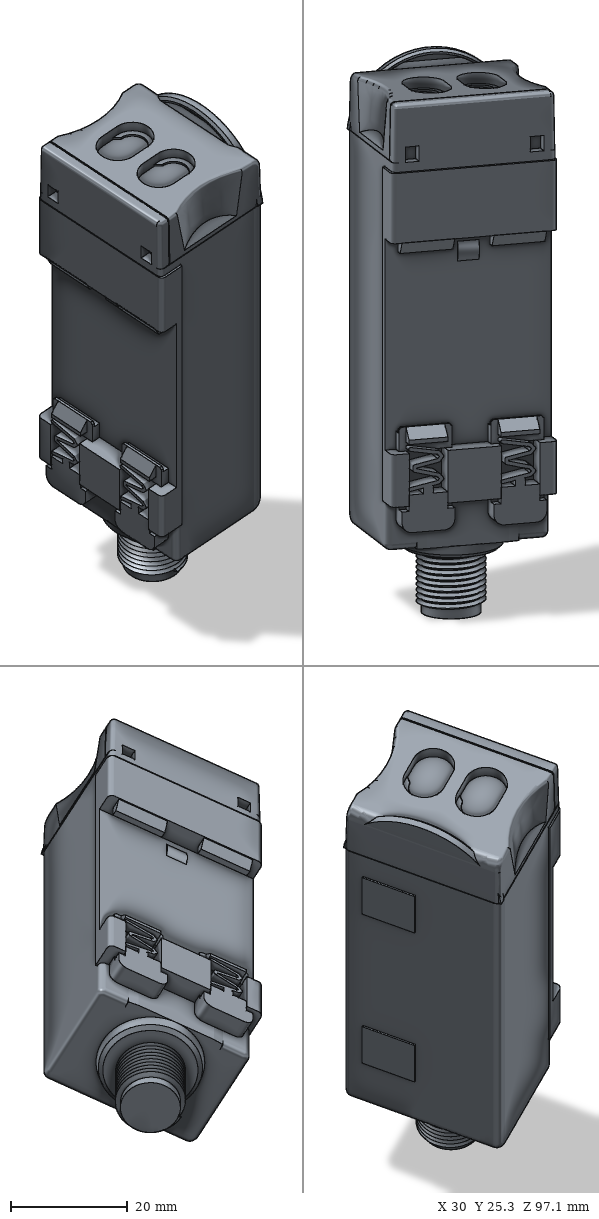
import cadquery as cq
import math


TOTAL_HEIGHT = 97.1

HOUSING_HALF_WIDTH = 14.8
HOUSING_FRONT = -9.1
HOUSING_BACK = 12.1
HOUSING_BACK_HALF_WIDTH = 14.6
HOUSING_TAPER_Y = 9.9
HOUSING_BOTTOM = 14.1
BOTTOM_BACK_RADIUS = 2.2
BACK_EDGE_RADIUS = 1.2
FRONT_EDGE_RADIUS = 1.2

PAD_HALF_WIDTH = 9.2
PAD_SLOPE_WIDTH = 1.8
PAD_DEPTH = 2.9

HEAD_BOTTOM = 83.8
HEAD_TOP = 94.1
HEAD_STEP = 0.1
HEAD_DRAFT = 0.2
HEAD_BACK_RADIUS = 2.0
HEAD_EDGE_RADIUS = 0.8
SEAM_Y = -10.8
SEAM_SIZE = 0.2

DOME_RADIUS = 15.0
DOME_FRONT = 10.1
DOME_BACK = 11.85
DOME_CHAMFER = 0.5
DOME_RIM = 0.9
DOME_POCKET_DEPTH = 0.7
DOME_POCKET_FLOOR = 95.1

SLOT_X = 5.0
SLOT_RADIUS = 3.7
SLOT_BACK = 3.8
SLOT_FRONT = -7.2
SLOT_LEDGE_DEPTH = 1.9
SLOT_DEPTH = 2.3
SLOT_LEDGE_WIDTH = 1.0

SCALLOP_AXIS_X = 29.1
SCALLOP_AXIS_Y = -0.7
SCALLOP_BOTTOM_RADIUS = 15.7
SCALLOP_TOP_RADIUS = 16.7
SCALLOP_LEDGE_Z = 84.6
SCALLOP_LEDGE_SLOPE = 1.0

WINDOW_X = 11.3
WINDOW_Z = 85.2
WINDOW_WIDTH = 2.4
WINDOW_HEIGHT = 2.7
WINDOW_DEPTH = 1.9

PLATE_CENTRE_X = 6.1
PLATE_WIDTH = 9.9
PLATE_HEIGHT = 10.2
PLATE_THICKNESS = 0.3
PLATE_CENTRES_Z = (73.0, 31.4)

FLANGE_TOP_RADIUS = 9.3
FLANGE_RADIUS = 8.9
FLANGE_BOTTOM_RADIUS = 8.2
FLANGE_BOTTOM = 11.7
FLANGE_CHAMFER_HEIGHT = 0.7
CORE_RADIUS = 5.1
THREAD_RADIUS = 6.0
THREAD_BOTTOM = 1.0
THREAD_LENGTH = 10.0
THREAD_TURNS = 10
THREAD_PITCH = THREAD_LENGTH / THREAD_TURNS
THREAD_ROOT_OVERLAP = 0.1
THREAD_BASE_WIDTH = 0.96 * THREAD_PITCH

MOUNT_WIDTH = 30.0
MOUNT_BACK = -8.0
MOUNT_FACE = -9.3
MOUNT_FRONT = -12.9
MOUNT_TOP = 82.2
MOUNT_GAP = 0.2
MOUNT_BOTTOM = 22.8
MOUNT_EDGE_RADIUS = 1.0
UPPER_BLOCK_BOTTOM = 69.5
LOWER_BLOCK_TOP = 32.15

CLIP_SPACING = 16.6
CLIP_WIDTH = 9.5
CHANNEL_WIDTH = 7.0
CLIP_FRONT = -12.7
CLIP_STEP = -11.1
HOOK_BACK = -10.6
TOOTH_BOTTOM = 67.4
TOOTH_TIP_FRONT = -11.7
FOOT_BOTTOM = 18.1
FOOT_SHOULDER = 21.9
FOOT_TOP = 24.8
FOOT_RADIUS = 1.8
JAW_TOP = 36.4
JAW_BASE_TOP = 35.4
JAW_NOSE_TOP = 34.5
JAW_NOSE_BOTTOM = 33.7
JAW_CORNER_CHAMFER = 0.4
RIBBON_THICKNESS = 0.7
RIBBON_TAIL_X = -3.2
RIBBON_LEFT_X = -2.4
RIBBON_RIGHT_X = 1.8
RIBBON_BEND_X = 2.4
RIBBON_POST_WIDTH = 1.7
RIBBON_PATH = [
    (RIBBON_TAIL_X, 32.8),
    (RIBBON_RIGHT_X, 31.9),
    (RIBBON_BEND_X, 31.2),
    (RIBBON_RIGHT_X, 30.5),
    (RIBBON_LEFT_X, 29.7),
    (RIBBON_LEFT_X, 29.0),
    (RIBBON_RIGHT_X, 27.9),
    (RIBBON_BEND_X, 27.2),
    (RIBBON_RIGHT_X, 26.6),
    (RIBBON_TAIL_X, 25.7),
]

BUMP_WIDTH = 3.9
BUMP_CENTRE_Z = 66.3
BUMP_LENGTH = 3.5
BUMP_HEIGHT = 0.4


def block(x_min, x_max, y_min, y_max, z_min, z_max):
    """Box between the given limits."""
    box = cq.Workplane("XY").box(x_max - x_min, y_max - y_min, z_max - z_min, centered=False)
    return box.translate((x_min, y_min, z_min))


def centred_block(width, y_min, y_max, z_min, z_max):
    """Box that is symmetric about X = 0."""
    return block(-width / 2, width / 2, y_min, y_max, z_min, z_max)


def side_profile(points, width):
    """Outline of (Y, Z) points extruded symmetrically along X."""
    return cq.Workplane("YZ").polyline(points).close().extrude(width / 2, both=True)



def make_case():
    outline = [
        (HOUSING_HALF_WIDTH, HOUSING_FRONT),
        (HOUSING_HALF_WIDTH, HOUSING_TAPER_Y),
        (HOUSING_BACK_HALF_WIDTH, HOUSING_BACK),
        (-HOUSING_BACK_HALF_WIDTH, HOUSING_BACK),
        (-HOUSING_HALF_WIDTH, HOUSING_TAPER_Y),
        (-HOUSING_HALF_WIDTH, HOUSING_FRONT),
    ]
    base = cq.Workplane("XY", origin=(0, 0, HOUSING_BOTTOM))
    case = base.polyline(outline).close().extrude(HEAD_BOTTOM - HOUSING_BOTTOM)
    case = case.edges("<Z and >Y").fillet(BOTTOM_BACK_RADIUS)
    case = case.faces(">Y").edges("|Z").fillet(BACK_EDGE_RADIUS)
    case = case.faces("<Y").edges("not >Z").fillet(FRONT_EDGE_RADIUS)

    lip = centred_block(2 * HOUSING_HALF_WIDTH, MOUNT_FRONT, 0, MOUNT_TOP, HEAD_BOTTOM)
    lip = lip.edges("|Z and <Y").fillet(MOUNT_EDGE_RADIUS)
    recess = centred_block(MOUNT_WIDTH, MOUNT_FRONT, MOUNT_BACK, MOUNT_BOTTOM, MOUNT_TOP)
    return case.cut(recess).union(lip)


def make_pad():
    """Pad with sloped sides, flush with the face of the mount above it."""
    face_half_width = PAD_HALF_WIDTH - PAD_SLOPE_WIDTH
    outline = [
        (-face_half_width, MOUNT_FACE),
        (face_half_width, MOUNT_FACE),
        (PAD_HALF_WIDTH, HOUSING_FRONT),
        (PAD_HALF_WIDTH, MOUNT_FACE + PAD_DEPTH),
        (-PAD_HALF_WIDTH, MOUNT_FACE + PAD_DEPTH),
        (-PAD_HALF_WIDTH, HOUSING_FRONT),
    ]
    base = cq.Workplane("XY", origin=(0, 0, HOUSING_BOTTOM))
    return base.polyline(outline).close().extrude(MOUNT_BOTTOM - HOUSING_BOTTOM)


def make_head():
    half_bottom = HOUSING_HALF_WIDTH - HEAD_STEP
    half_top = half_bottom - HEAD_DRAFT
    back_bottom = HOUSING_BACK - HEAD_STEP
    back_top = back_bottom - HEAD_DRAFT
    head = (
        cq.Workplane("XY", origin=(0, 0, HEAD_BOTTOM))
        .center(0, (MOUNT_FRONT + back_bottom) / 2)
        .rect(2 * half_bottom, back_bottom - MOUNT_FRONT)
        .workplane(offset=HEAD_TOP - HEAD_BOTTOM)
        .center(0, (back_top - back_bottom) / 2)
        .rect(2 * half_top, back_top - MOUNT_FRONT)
        .loft(ruled=True)
    )
    head = head.faces(">Z").edges(">Y").fillet(HEAD_BACK_RADIUS)
    head = head.faces("<Y").edges("not #Z").fillet(HEAD_EDGE_RADIUS)
    head = head.cut(make_scallops())
    head = head.faces(">Z").edges("not >Y").fillet(HEAD_EDGE_RADIUS)
    return head


def make_seam():
    """Thin groove over the top and sides of the head, behind its front wall."""
    wide = 2 * HOUSING_HALF_WIDTH
    outer = centred_block(wide, SEAM_Y, SEAM_Y + SEAM_SIZE, HEAD_BOTTOM, HEAD_TOP)
    inner_width = wide - 2 * (HEAD_STEP + HEAD_DRAFT + SEAM_SIZE)
    inner = centred_block(inner_width, SEAM_Y, SEAM_Y + SEAM_SIZE, HEAD_BOTTOM, HEAD_TOP - SEAM_SIZE)
    return outer.cut(inner)


def make_dome():
    axis_z = TOTAL_HEIGHT - DOME_RADIUS
    disc = (
        cq.Workplane("XZ", origin=(0, DOME_BACK, axis_z))
        .circle(DOME_RADIUS)
        .extrude(DOME_BACK - DOME_FRONT)
        .faces("<Y").edges().chamfer(DOME_CHAMFER)
    )
    dome = disc.intersect(block(-DOME_RADIUS, DOME_RADIUS, DOME_FRONT, DOME_BACK, HEAD_BOTTOM, TOTAL_HEIGHT))

    scoop = (
        cq.Workplane("XZ", origin=(0, DOME_FRONT + DOME_POCKET_DEPTH, axis_z))
        .circle(DOME_RADIUS - DOME_RIM)
        .extrude(DOME_POCKET_DEPTH)
    )
    floor = [
        (DOME_FRONT, HEAD_TOP),
        (DOME_FRONT + DOME_POCKET_DEPTH, DOME_POCKET_FLOOR),
        (DOME_FRONT + DOME_POCKET_DEPTH, TOTAL_HEIGHT),
        (DOME_FRONT, TOTAL_HEIGHT),
    ]
    return dome.cut(scoop.intersect(side_profile(floor, 2 * DOME_RADIUS)))


def make_top_slot(x):
    """Round-ended slot that keeps a crescent-shaped ledge around the back end of its floor."""
    length = SLOT_BACK - SLOT_FRONT
    upper = (
        cq.Workplane("XY", origin=(x, (SLOT_BACK + SLOT_FRONT) / 2, HEAD_TOP - SLOT_LEDGE_DEPTH))
        .slot2D(length, 2 * SLOT_RADIUS, 90)
        .extrude(SLOT_LEDGE_DEPTH)
    )
    back_centre = SLOT_BACK - SLOT_RADIUS
    front_centre = SLOT_FRONT + SLOT_RADIUS
    inner_radius = SLOT_RADIUS - SLOT_LEDGE_WIDTH
    lower = (
        cq.Workplane("XY", origin=(x, 0, HEAD_TOP - SLOT_DEPTH))
        .moveTo(inner_radius, back_centre)
        .threePointArc((0, SLOT_BACK - SLOT_LEDGE_WIDTH), (-inner_radius, back_centre))
        .lineTo(-SLOT_RADIUS, back_centre - SLOT_LEDGE_WIDTH)
        .lineTo(-SLOT_RADIUS, front_centre)
        .threePointArc((0, SLOT_FRONT), (SLOT_RADIUS, front_centre))
        .lineTo(SLOT_RADIUS, back_centre - SLOT_LEDGE_WIDTH)
        .close()
        .extrude(SLOT_DEPTH)
    )
    return upper.union(lower)


def make_scallops():
    """Cone-shaped hollows, each closed below by a plane that rises towards the middle of the head."""
    cone_outline = [
        (0, HEAD_BOTTOM),
        (SCALLOP_BOTTOM_RADIUS, HEAD_BOTTOM),
        (SCALLOP_TOP_RADIUS, HEAD_TOP),
        (0, HEAD_TOP),
    ]
    cone = cq.Workplane("XZ").polyline(cone_outline).close().revolve(360, (0, 0), (0, 1))
    cone = cone.translate((SCALLOP_AXIS_X, SCALLOP_AXIS_Y, 0))

    inner_x = SCALLOP_AXIS_X - SCALLOP_TOP_RADIUS
    rise = SCALLOP_LEDGE_SLOPE * (HOUSING_HALF_WIDTH - inner_x)
    space_above_ledge = (
        cq.Workplane("XZ")
        .polyline([
            (HOUSING_HALF_WIDTH, SCALLOP_LEDGE_Z),
            (HOUSING_HALF_WIDTH, HEAD_TOP),
            (inner_x, HEAD_TOP),
            (inner_x, SCALLOP_LEDGE_Z + rise),
        ])
        .close()
        .extrude(SCALLOP_TOP_RADIUS, both=True)
    )
    scallop = cone.intersect(space_above_ledge)
    return scallop.union(scallop.mirror("YZ"))


def make_window(x):
    return block(
        x - WINDOW_WIDTH / 2, x + WINDOW_WIDTH / 2,
        MOUNT_FRONT, MOUNT_FRONT + WINDOW_DEPTH,
        WINDOW_Z - WINDOW_HEIGHT / 2, WINDOW_Z + WINDOW_HEIGHT / 2,
    )


def make_back_plate(z):
    return block(
        PLATE_CENTRE_X - PLATE_WIDTH / 2, PLATE_CENTRE_X + PLATE_WIDTH / 2,
        HOUSING_BACK, HOUSING_BACK + PLATE_THICKNESS,
        z - PLATE_HEIGHT / 2, z + PLATE_HEIGHT / 2,
    )


def make_connector():
    outline = [
        (0, 0),
        (CORE_RADIUS, 0),
        (CORE_RADIUS, FLANGE_BOTTOM),
        (FLANGE_BOTTOM_RADIUS, FLANGE_BOTTOM),
        (FLANGE_RADIUS, FLANGE_BOTTOM + FLANGE_CHAMFER_HEIGHT),
        (FLANGE_TOP_RADIUS, HOUSING_BOTTOM),
        (0, HOUSING_BOTTOM),
    ]
    return cq.Workplane("XZ").polyline(outline).close().revolve(360, (0, 0), (0, 1))


def make_thread():
    """Helical triangular ridge, rooted slightly inside the connector core."""
    root_radius = CORE_RADIUS - THREAD_ROOT_OVERLAP
    half_base = THREAD_BASE_WIDTH / 2
    helix = cq.Wire.makeHelix(THREAD_PITCH, THREAD_LENGTH, CORE_RADIUS)
    section = cq.Workplane("XZ").polyline(
        [(root_radius, -half_base), (THREAD_RADIUS, 0), (root_radius, half_base)]
    ).close()
    ridge = section.sweep(cq.Workplane(helix), isFrenet=True)
    return ridge.translate((0, 0, THREAD_BOTTOM + half_base))


def make_housing():
    housing = make_case().union(make_pad())
    housing = housing.union(make_head()).cut(make_seam())
    housing = housing.union(make_dome())
    for side in (-1, 1):
        housing = housing.cut(make_top_slot(side * SLOT_X)).cut(make_window(side * WINDOW_X))
    for z in PLATE_CENTRES_Z:
        housing = housing.union(make_back_plate(z))
    return housing.union(make_connector()).union(make_thread())



def make_mount_base():
    top = MOUNT_TOP - MOUNT_GAP
    base = centred_block(MOUNT_WIDTH, MOUNT_FACE, MOUNT_BACK, MOUNT_BOTTOM, top)
    for z_min, z_max in ((UPPER_BLOCK_BOTTOM, top), (MOUNT_BOTTOM, LOWER_BLOCK_TOP)):
        rail_block = centred_block(MOUNT_WIDTH, MOUNT_FRONT, MOUNT_BACK, z_min, z_max)
        base = base.union(rail_block.edges("|Z and <Y").fillet(MOUNT_EDGE_RADIUS))
    return base


def make_bump():
    """Shallow cylinder segment lying along X."""
    return (
        cq.Workplane("YZ")
        .moveTo(MOUNT_FACE, BUMP_CENTRE_Z - BUMP_LENGTH / 2)
        .threePointArc(
            (MOUNT_FACE - BUMP_HEIGHT, BUMP_CENTRE_Z),
            (MOUNT_FACE, BUMP_CENTRE_Z + BUMP_LENGTH / 2),
        )
        .close()
        .extrude(BUMP_WIDTH / 2, both=True)
    )


def make_tooth():
    """Fixed rail tooth under the upper block."""
    outline = [
        (HOOK_BACK, UPPER_BLOCK_BOTTOM),
        (HOOK_BACK, TOOTH_BOTTOM),
        (TOOTH_TIP_FRONT, TOOTH_BOTTOM),
        (CLIP_FRONT, UPPER_BLOCK_BOTTOM),
    ]
    return side_profile(outline, CLIP_WIDTH)


def make_foot():
    """Pull tab below the channel, with a neck that reaches up into it."""
    tab = centred_block(CLIP_WIDTH, CLIP_FRONT, MOUNT_FACE, FOOT_BOTTOM, FOOT_SHOULDER)
    tab = tab.edges("|Y and <Z").fillet(FOOT_RADIUS)
    shoulder = centred_block(CLIP_WIDTH, CLIP_STEP, MOUNT_FACE, FOOT_SHOULDER, MOUNT_BOTTOM)
    neck = centred_block(CHANNEL_WIDTH, CLIP_FRONT, MOUNT_FACE, FOOT_SHOULDER, FOOT_TOP)
    return tab.union(shoulder).union(neck)


def make_jaw():
    """Sprung rail jaw above the lower block."""
    base = centred_block(CLIP_WIDTH, CLIP_STEP, MOUNT_FACE, LOWER_BLOCK_TOP, JAW_BASE_TOP)
    lip = centred_block(CLIP_WIDTH, CLIP_STEP, HOOK_BACK, LOWER_BLOCK_TOP, JAW_TOP)
    lip = lip.edges("|Y and >Z").chamfer(JAW_CORNER_CHAMFER)
    nose = [
        (CLIP_STEP, JAW_TOP),
        (CLIP_FRONT, JAW_NOSE_TOP),
        (CLIP_FRONT, JAW_NOSE_BOTTOM),
        (CLIP_STEP, JAW_NOSE_BOTTOM),
    ]
    return base.union(lip).union(side_profile(nose, CHANNEL_WIDTH))


def make_ribbon():
    """Zigzag spring between the neck and the jaw."""
    depth = MOUNT_FACE - CLIP_FRONT
    end_z = RIBBON_PATH[-1][1]
    ribbon = centred_block(RIBBON_POST_WIDTH, CLIP_FRONT, MOUNT_FACE, FOOT_TOP, end_z + RIBBON_THICKNESS / 2)
    for (x1, z1), (x2, z2) in zip(RIBBON_PATH, RIBBON_PATH[1:]):
        length = math.hypot(x2 - x1, z2 - z1)
        angle = math.degrees(math.atan2(z2 - z1, x2 - x1))
        link = (
            cq.Workplane("XZ", origin=(0, MOUNT_FACE, 0))
            .center((x1 + x2) / 2, (z1 + z2) / 2)
            .slot2D(length + RIBBON_THICKNESS, RIBBON_THICKNESS, angle)
            .extrude(depth)
        )
        ribbon = ribbon.union(link)
    return ribbon


def make_mount():
    mount = make_mount_base().union(make_bump())
    channel = centred_block(CHANNEL_WIDTH, MOUNT_FRONT, MOUNT_FACE, MOUNT_BOTTOM, LOWER_BLOCK_TOP)
    clip = make_tooth().union(make_foot()).union(make_jaw()).union(make_ribbon())
    for side in (-1, 1):
        offset = (side * CLIP_SPACING / 2, 0, 0)
        mount = mount.cut(channel.translate(offset)).union(clip.translate(offset))
    return mount


housing = make_housing()
mount = make_mount()

result = cq.Compound.makeCompound([housing.solids().val(), mount.solids().val()])